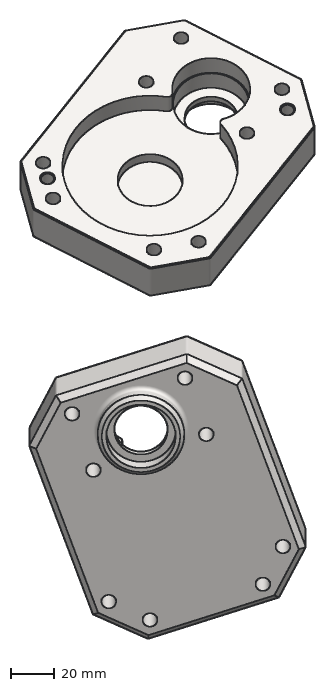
import cadquery as cq
import math

length_y = 130.0
width_x = 104.0
total_height = 32.5
boss_height = 8.5
corner_cut = 20.0
corner_round = 2.0
bottom_chamfer = 3.0
top_chamfer = 0.5

shaft_y = 37.5
boss_diameter = 40.0
boss_chamfer = 2.0
boss_fillet = 2.0
shaft_hole_diameter = 24.6
bearing_diameter = 35.0
bearing_relief_diameter = 36.0
bearing_depth = 22.0
seal_diameter = 32.0
seal_depth = 7.0

gear_y = -15.0
gear_pocket_diameter = 81.0
gear_pocket_depth = 11.0
recess_diameter = 30.0
recess_depth = 6.0
neck_width = 27.0
neck_corner_radius = 2.0

screw_hole_diameter = 6.8
inner_screw_x = 27.5
outer_screw_x = 42.5
end_screw_y = 55.0
middle_screw_y = 25.0
outer_screw_y = -40.0

dowel_x = 36.0
dowel_y = 46.5
dowel_diameter = 6.0
dowel_depth = 13.0
dowel_chamfer = 0.5
drill_point_angle = 118.0

body_bottom = boss_height
gear_floor = total_height - gear_pocket_depth


def cylinder(x, y, bottom, top, diameter):
    """Upright cylinder between two heights."""
    return cq.Workplane("XY", origin=(x, y, bottom)).circle(diameter / 2).extrude(top - bottom)


def make_body():
    """Eight-sided block with rounded upright edges and chamfered rims.

    The wide bottom chamfer keeps sharp seams, so the upright edges are rounded on a
    separate block and the two are intersected.
    """
    block = cq.Workplane("XY", origin=(0, 0, body_bottom)).rect(width_x, length_y)
    block = block.extrude(total_height - body_bottom).edges("|Z").chamfer(corner_cut)
    rounded_block = block.edges("|Z").fillet(corner_round).faces(">Z").chamfer(top_chamfer)
    return block.faces("<Z").chamfer(bottom_chamfer).intersect(rounded_block)


def make_boss():
    """Round boss under the shaft bore, chamfered at its end and flared by a fillet at its root."""
    radius = boss_diameter / 2
    arc_rise = boss_fillet * math.sin(math.radians(45))
    fillet_middle = (radius + boss_fillet - arc_rise, body_bottom - boss_fillet + arc_rise)
    profile = (
        cq.Workplane("XZ", origin=(0, shaft_y, 0))
        .lineTo(radius - boss_chamfer, 0)
        .lineTo(radius, boss_chamfer)
        .lineTo(radius, body_bottom - boss_fillet)
        .threePointArc(fillet_middle, (radius + boss_fillet, body_bottom))
        .lineTo(0, body_bottom)
        .close()
    )
    return profile.revolve(360, (0, 0), (0, 1))


def make_shaft_bore():
    """Relief, bearing seat, shaft hole and seal seat on one axis."""
    bearing_floor = total_height - bearing_depth
    bore = cylinder(0, shaft_y, 0, total_height, shaft_hole_diameter)
    bore = bore.union(cylinder(0, shaft_y, 0, seal_depth, seal_diameter))
    bore = bore.union(cylinder(0, shaft_y, bearing_floor, total_height, bearing_diameter))
    return bore.union(cylinder(0, shaft_y, gear_floor, total_height, bearing_relief_diameter))


def make_gear_pocket():
    """Round pocket with a deeper centre recess and a straight neck to the shaft bore."""
    pocket = cylinder(0, gear_y, gear_floor, total_height, gear_pocket_diameter)
    neck = cq.Workplane("XY", origin=(0, (shaft_y + gear_y) / 2, gear_floor))
    neck = neck.rect(neck_width, shaft_y - gear_y).extrude(gear_pocket_depth)
    cavity = pocket.union(neck)

    corner_x = neck_width / 2
    corner_y = gear_y + math.sqrt((gear_pocket_diameter / 2) ** 2 - corner_x**2)
    corner_z = total_height - gear_pocket_depth / 2
    for x in (-corner_x, corner_x):
        corner = cq.selectors.NearestToPointSelector((x, corner_y, corner_z))
        cavity = cavity.edges(corner).fillet(neck_corner_radius)

    recess = cylinder(0, gear_y, gear_floor - recess_depth, total_height, recess_diameter)
    return cavity.union(recess)


def drill_screw_holes(body):
    """Four plain through holes on each side of the centre plane."""
    for side in (-1, 1):
        centres = [
            (side * inner_screw_x, end_screw_y),
            (side * inner_screw_x, middle_screw_y),
            (side * outer_screw_x, outer_screw_y),
            (side * inner_screw_x, -end_screw_y),
        ]
        for x, y in centres:
            body = body.cut(cylinder(x, y, 0, total_height, screw_hole_diameter))
    return body


def drill_dowel_holes(body):
    """Each hole is one revolved profile: chamfered mouth, bore and drill point."""
    radius = dowel_diameter / 2
    mouth_radius = radius + dowel_chamfer
    point_depth = radius / math.tan(math.radians(drill_point_angle / 2))
    profile = [
        (0, 0),
        (mouth_radius, 0),
        (radius, -dowel_chamfer),
        (radius, -dowel_depth),
        (0, -dowel_depth - point_depth),
    ]
    drill = cq.Workplane("XZ").polyline(profile).close().revolve(360, (0, 0), (0, 1))
    for side in (-1, 1):
        body = body.cut(drill.translate((side * dowel_x, side * dowel_y, total_height)))
    return body


housing = make_body().union(make_boss())
housing = housing.cut(make_shaft_bore()).cut(make_gear_pocket())
housing = drill_screw_holes(housing)
result = drill_dowel_holes(housing)